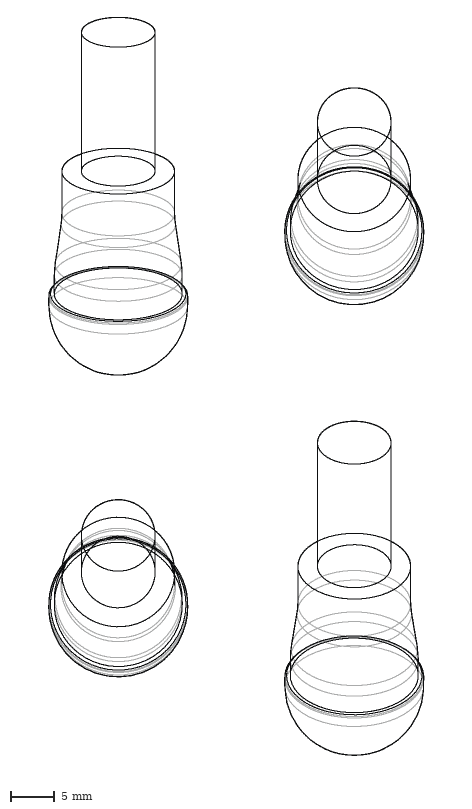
import cadquery as cq
import math

total_height = 42.5
shoulder_height = 25.0
taper_top_height = 19.0
taper_bottom_height = 12.58
rim_height = 9.5

stud_diameter = 8.5
neck_diameter = 13.0
waist_diameter = 14.75
dome_diameter = 16.0

taper_blend_radius = 10.62
rim_chamfer = 0.2
rim_blend_radius = 0.2

stud_radius = stud_diameter / 2
neck_radius = neck_diameter / 2
waist_radius = waist_diameter / 2
dome_radius = dome_diameter / 2
chamfer_height = rim_height - rim_chamfer

pick_margin = 0.05


def revolve_about_z(profile):
    """Close a profile drawn in the XZ plane and turn it about the Z axis."""
    return profile.close().revolve(360, (0, 0), (0, 1))


def edges_between(low, high):
    """Selector for the edges whose centres lie between two heights."""
    return cq.selectors.BoxSelector(
        (-dome_radius, -dome_radius, low - pick_margin),
        (dome_radius, dome_radius, high + pick_margin),
    )


def make_stud():
    """Plain cylindrical stud standing on the shoulder."""
    base = cq.Workplane("XY").workplane(offset=shoulder_height)
    return base.circle(stud_radius).extrude(total_height - shoulder_height)


def make_body():
    """Neck that widens through a blended taper to the waist above the dome."""
    profile = (
        cq.Workplane("XZ")
        .moveTo(0, rim_height)
        .lineTo(waist_radius, rim_height)
        .lineTo(waist_radius, taper_bottom_height)
        .lineTo(neck_radius, taper_top_height)
        .lineTo(neck_radius, shoulder_height)
        .lineTo(0, shoulder_height)
    )
    body = revolve_about_z(profile)
    taper_edges = body.edges("%CIRCLE").edges(edges_between(taper_bottom_height, taper_top_height))
    return taper_edges.fillet(taper_blend_radius)


def make_dome():
    """Hemisphere with a short cylindrical band and a chamfered, softened rim."""
    arc_middle_x = dome_radius * math.sin(math.pi / 4)
    arc_middle_z = dome_radius * (1 - math.cos(math.pi / 4))
    profile = (
        cq.Workplane("XZ")
        .moveTo(0, 0)
        .threePointArc((arc_middle_x, arc_middle_z), (dome_radius, dome_radius))
        .lineTo(dome_radius, chamfer_height)
        .lineTo(dome_radius - rim_chamfer, rim_height)
        .lineTo(0, rim_height)
    )
    dome = revolve_about_z(profile)
    rim_edge = dome.edges("%CIRCLE").edges(edges_between(chamfer_height, chamfer_height))
    return rim_edge.fillet(rim_blend_radius)


result = make_dome().union(make_body()).union(make_stud())